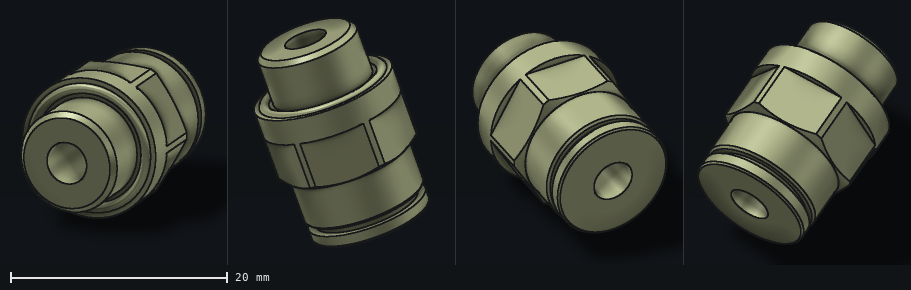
import cadquery as cq
import math


flange_start = 5.0
hex_start = 7.52
hex_end = 12.51
body_end = 16.83
collar_start = 17.5
total_length = 18.7

bore_diameter = 4.0
spigot_diameter = 9.72
flange_diameter = 13.5
body_diameter = 11.67
neck_diameter = 10.0
collar_diameter = 11.5

hex_sides = 6
across_flats = 12.0
hex_face_diameter = 11.7
hex_chamfer_angle = 30.0

spigot_chamfer = 0.5
body_chamfer = 0.25
collar_chamfer = 0.19

ring_inner_diameter = 10.51
ring_outer_diameter = 12.5
ring_protrusion = 0.4


def cylinder(diameter, start, end):
    """Solid cylinder on the Y axis between two Y positions."""
    plane = cq.Workplane("XZ", origin=(0, start, 0))
    return plane.circle(diameter / 2).extrude(start - end)


def make_hexagon():
    """Hexagon with corners trimmed to the flange and a conical chamfer at its far end."""
    height = hex_end - hex_start
    corner_diameter = across_flats / math.cos(math.pi / hex_sides)
    prism = cq.Workplane("XZ", origin=(0, hex_start, 0)).polygon(hex_sides, corner_diameter).extrude(-height)
    chamfer_width = (flange_diameter - hex_face_diameter) / 2
    chamfer_length = chamfer_width * math.tan(math.radians(hex_chamfer_angle))
    envelope = cylinder(flange_diameter, hex_start, hex_end)
    envelope = envelope.faces(">Y").chamfer(chamfer_length, chamfer_width)
    return prism.intersect(envelope)


def make_sealing_ring():
    """Round-section ring standing proud of the flange face."""
    section_radius = (ring_outer_diameter - ring_inner_diameter) / 4
    centre_radius = (ring_outer_diameter + ring_inner_diameter) / 4
    centre_y = flange_start - ring_protrusion + section_radius
    section = cq.Workplane("XY").center(centre_radius, centre_y).circle(section_radius)
    return section.revolve(360, (-centre_radius, 0, 0), (-centre_radius, 1, 0))


spigot = cylinder(spigot_diameter, 0, hex_start).faces("<Y").chamfer(spigot_chamfer)
flange = cylinder(flange_diameter, flange_start, hex_start)
body = cylinder(body_diameter, hex_start, body_end).faces(">Y").chamfer(body_chamfer)
neck = cylinder(neck_diameter, body_end, collar_start)
collar = cylinder(collar_diameter, collar_start, total_length).faces(">Y").chamfer(collar_chamfer)

result = spigot.union(flange).union(make_sealing_ring())
result = result.union(make_hexagon()).union(body).union(neck).union(collar)
result = result.cut(cylinder(bore_diameter, 0, total_length))